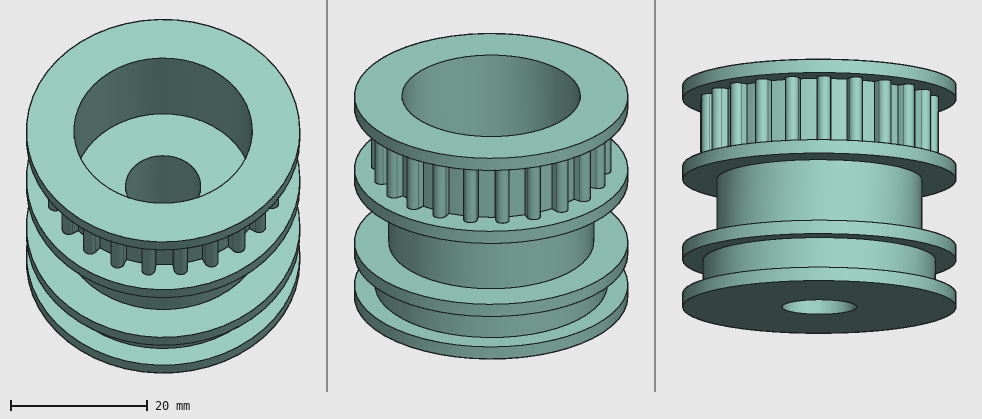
import cadquery as cq

flange_diameter = 40
flange_thickness = 2
groove_diameter = 34
groove_width = 5.0
neck_diameter = 30
neck_length = 10

tooth_count = 22
tooth_width = 1.95
tooth_tip_diameter = 35.0
tooth_root_diameter = 31.0
toothed_length = 10

shaft_hole_diameter = 11.0
recess_diameter = 26.1
recess_depth = toothed_length + 2 * flange_thickness


def disc(bottom, diameter, height):
    """Solid disc on the Z axis, standing on the given level."""
    return cq.Workplane("XY").workplane(offset=bottom).circle(diameter / 2).extrude(height)


def teeth(bottom):
    """Straight-sided teeth with round tips; one tooth points along -Y."""
    tip_radius = tooth_tip_diameter / 2
    tip_center_radius = tip_radius - tooth_width / 2
    flank_start_radius = tooth_root_diameter / 2 - tooth_width / 2
    tooth = (
        cq.Workplane("XY")
        .workplane(offset=bottom)
        .moveTo(-tooth_width / 2, -flank_start_radius)
        .lineTo(-tooth_width / 2, -tip_center_radius)
        .threePointArc((0, -tip_radius), (tooth_width / 2, -tip_center_radius))
        .lineTo(tooth_width / 2, -flank_start_radius)
        .close()
        .extrude(toothed_length)
    )
    pitch_angle = 360 / tooth_count
    return [tooth.rotate((0, 0, 0), (0, 0, 1), i * pitch_angle) for i in range(tooth_count)]


sections = [
    (flange_diameter, flange_thickness),
    (groove_diameter, groove_width),
    (flange_diameter, flange_thickness),
    (neck_diameter, neck_length),
    (flange_diameter, flange_thickness),
    (tooth_root_diameter, toothed_length),
    (flange_diameter, flange_thickness),
]
total_height = sum(height for _, height in sections)
toothed_bottom = total_height - flange_thickness - toothed_length

body = cq.Workplane("XY")
level = 0
for diameter, height in sections:
    body = body.union(disc(level, diameter, height))
    level += height

for tooth in teeth(toothed_bottom):
    body = body.union(tooth)

shaft_hole = disc(0, shaft_hole_diameter, total_height)
recess = disc(total_height - recess_depth, recess_diameter, recess_depth)
result = body.cut(shaft_hole).cut(recess)